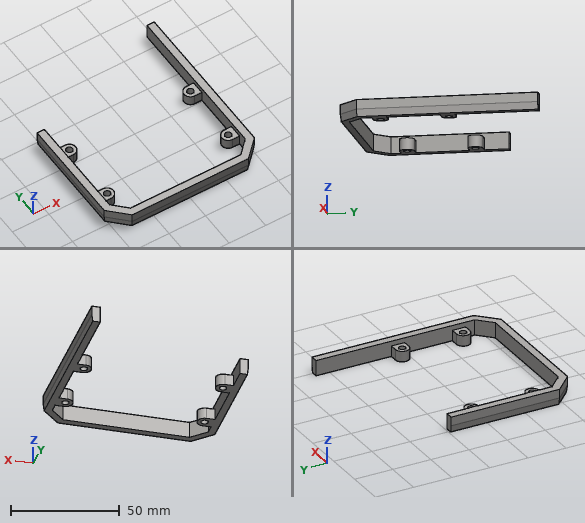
import cadquery as cq
import math

frame_width = 82.42
frame_height = 8.0
right_arm_end = 94.21
left_arm_end = 66.21
wall = 4.0
corner_cut = 9.32

draft_height = 3.5
draft_angle = 7.2
draft_inset = draft_height * math.tan(math.radians(draft_angle))

ear_height = 5.5
ear_radius = 3.5
hole_diameter = 3.4
hole_offset = 4.0
hole_spacing_x = frame_width - 2 * (wall + hole_offset)
front_hole_y = 19.21
hole_spacing_y = 32.0


def boundary(inset):
    """Closed outline of the frame, moved inwards by inset on its sides, corners and front."""
    half_width = frame_width / 2 - inset
    cut = corner_cut - inset * (2 - math.sqrt(2))
    return (
        cq.Workplane("XY")
        .moveTo(-half_width, right_arm_end)
        .lineTo(-half_width, inset + cut)
        .lineTo(-half_width + cut, inset)
        .lineTo(half_width - cut, inset)
        .lineTo(half_width, inset + cut)
        .lineTo(half_width, right_arm_end)
        .close()
    )


def make_frame():
    """U-shaped wall with cut corners, a drafted lower edge and a shorter left arm."""
    upper = boundary(0).extrude(frame_height - draft_height)
    upper = upper.translate((0, 0, draft_height))
    lower_top = boundary(0).wires().val().translate(cq.Vector(0, 0, draft_height))
    lower_bottom = boundary(draft_inset).wires().val()
    lower = cq.Workplane(cq.Solid.makeLoft([lower_bottom, lower_top], True))
    inside = boundary(wall).extrude(frame_height)
    left_arm_excess = cq.Workplane("XY").box(
        frame_width / 2, right_arm_end - left_arm_end, frame_height, centered=False
    )
    left_arm_excess = left_arm_excess.translate((-frame_width / 2, left_arm_end, 0))
    return upper.union(lower).cut(inside).cut(left_arm_excess)


def make_ear(side, hole_y):
    """Round-ended ear reaching inwards from the arm on the given side (-1 left, 1 right)."""
    hole_x = side * hole_spacing_x / 2
    root_x = side * (frame_width - wall) / 2
    root = (
        cq.Workplane("XY")
        .center((hole_x + root_x) / 2, hole_y)
        .rect(abs(root_x - hole_x), 2 * ear_radius)
        .extrude(ear_height)
    )
    tip = cq.Workplane("XY").center(hole_x, hole_y).circle(ear_radius).extrude(ear_height)
    hole = cq.Workplane("XY").center(hole_x, hole_y).circle(hole_diameter / 2).extrude(ear_height)
    return root.union(tip).cut(hole)


result = make_frame()
for arm_side in (-1, 1):
    for ear_y in (front_hole_y, front_hole_y + hole_spacing_y):
        result = result.union(make_ear(arm_side, ear_y))